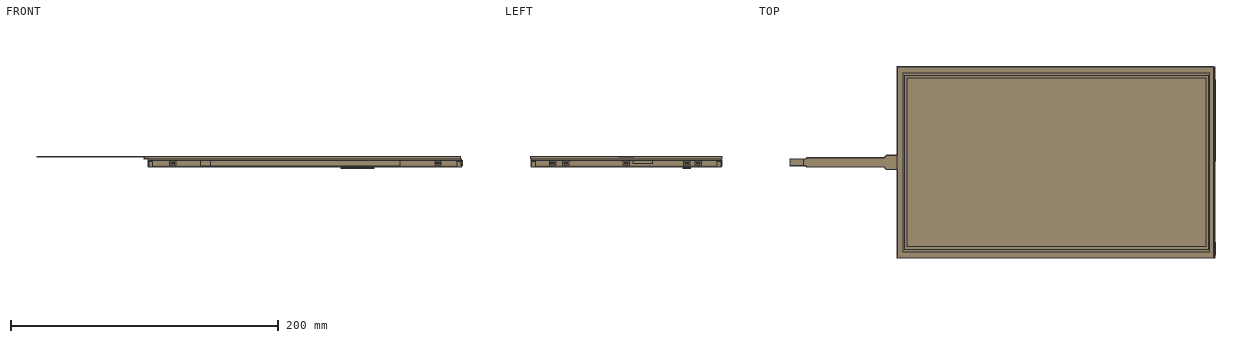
import cadquery as cq


OVERALL_LENGTH = 318.0
LEFT_END = -OVERALL_LENGTH / 2
RIGHT_END = OVERALL_LENGTH / 2

TOTAL_HEIGHT = 9.0
PAD_THICKNESS = 1.0
PANEL_THICKNESS = 2.0
PANEL_BOTTOM = TOTAL_HEIGHT - PANEL_THICKNESS
MODULE_BOTTOM = PAD_THICKNESS
TRAY_TOP = 6.0

PANEL_LEFT = -79.0
PANEL_RIGHT = 157.5
PANEL_WIDTH = 143.0
STEP_DEPTH = 0.15
WINDOWS = [
    (-74.5, 154.5, 66.8),
    (-73.5, 153.5, 65.0),
    (-71.5, 151.7, 63.0),
]

CABLE_THICKNESS = 0.15
CABLE_TOP = TOTAL_HEIGHT - CABLE_THICKNESS
CABLE_BOTTOM = CABLE_TOP - CABLE_THICKNESS
TIP_HALF_WIDTH = 2.5
STRIP_HALF_WIDTH = 3.5
ROOT_HALF_WIDTH = 5.5
TIP_LENGTH = 11.8
STIFFENER_LENGTH = 10.2
ROOT_LENGTH = 8.0

MODULE_LEFT = -76.0
MODULE_RIGHT = 158.5
MODULE_WIDTH = 142.5
FRAME_INSET = 0.3
BEND_RADIUS = 1.0
CORNER_NOTCH_LENGTH = 3.5
CORNER_NOTCH_DEPTH = 0.5
CORNER_NOTCH_TOP = 5.0

SHEET_THICKNESS = 0.15
INNER_SHEET_LEFT = -37.0
OUTER_SHEET_LEFT = -29.3
SHEETS_RIGHT = 112.3

LATCH_LENGTH = 4.8
LATCH_HEIGHT = 3.0
LATCH_DEPTH = 0.5
HOOK_LENGTH = 3.0
HOOK_HEIGHT = 1.0
LATCH_Z = 3.98
FRONT_LATCH_X = [-57.5, 140.5]
LEFT_LATCH_Y = [55.0, 45.2, 0.0, -45.2, -53.8]

CONNECTOR_LENGTH = 14.5
CONNECTOR_Y = -12.5
CONNECTOR_BOTTOM = 3.5
CONNECTOR_DEPTH = 1.0

PAD_LENGTH = 24.8
PAD_WIDTH = 5.5
PAD_X = 80.5
PAD_Y = -45.2

SIDE_STRIPS = [
    (1.0, 61.7, 2.2, 3.8),
    (-69.0, -59.8, 4.8, 5.7),
]


def box(x_range, y_range, z_range):
    """Box between two limits along each axis."""
    sizes = [high - low for low, high in (x_range, y_range, z_range)]
    corner = (x_range[0], y_range[0], z_range[0])
    return cq.Workplane("XY").box(*sizes, centered=False).translate(corner)


def centered_box(center, sizes):
    """Box of the given sizes around its center."""
    return cq.Workplane("XY").box(*sizes).translate(center)



def make_cable():
    """Flat cable: narrow stiffened tip, long strip and flared root."""
    tip_end = LEFT_END + TIP_LENGTH
    tip_flare = STRIP_HALF_WIDTH - TIP_HALF_WIDTH
    root_start = PANEL_LEFT - ROOT_LENGTH
    root_flare = ROOT_HALF_WIDTH - STRIP_HALF_WIDTH
    upper_edge = [
        (LEFT_END, TIP_HALF_WIDTH),
        (tip_end, TIP_HALF_WIDTH),
        (tip_end + tip_flare, STRIP_HALF_WIDTH),
        (root_start - root_flare, STRIP_HALF_WIDTH),
        (root_start, ROOT_HALF_WIDTH),
        (PANEL_LEFT, ROOT_HALF_WIDTH),
    ]
    lower_edge = [(x, -y) for x, y in reversed(upper_edge)]
    strip = (
        cq.Workplane("XY", origin=(0, 0, CABLE_BOTTOM))
        .polyline(upper_edge + lower_edge)
        .close()
        .extrude(CABLE_THICKNESS)
    )
    stiffener = box(
        (LEFT_END, LEFT_END + STIFFENER_LENGTH),
        (-TIP_HALF_WIDTH, TIP_HALF_WIDTH),
        (CABLE_TOP, TOTAL_HEIGHT),
    )
    return strip.union(stiffener)


def make_touch_panel():
    """Panel whose top steps down in nested rectangles to the active area, with its cable."""
    half_width = PANEL_WIDTH / 2
    panel = box((PANEL_LEFT, PANEL_RIGHT), (-half_width, half_width), (PANEL_BOTTOM, TOTAL_HEIGHT))
    for step, (left, right, half) in enumerate(WINDOWS, start=1):
        floor = TOTAL_HEIGHT - step * STEP_DEPTH
        panel = panel.cut(box((left, right), (-half, half), (floor, TOTAL_HEIGHT)))
    return panel.union(make_cable())



def make_module_shell():
    """Tray with rounded bottom edges, carrying the slightly inset upper frame."""
    half_width = MODULE_WIDTH / 2
    tray = box((MODULE_LEFT, MODULE_RIGHT), (-half_width, half_width), (MODULE_BOTTOM, TRAY_TOP))
    tray = tray.faces("<Z").edges().fillet(BEND_RADIUS)
    frame_half = half_width - FRAME_INSET
    frame = box(
        (MODULE_LEFT + FRAME_INSET, MODULE_RIGHT - FRAME_INSET),
        (-frame_half, frame_half),
        (TRAY_TOP, PANEL_BOTTOM),
    )
    return tray.union(frame)


def make_corner_notches():
    """Bend reliefs on both walls at each lower corner of the tray."""
    half_width = MODULE_WIDTH / 2
    height = CORNER_NOTCH_TOP - MODULE_BOTTOM
    middle_z = MODULE_BOTTOM + height / 2
    long_side = 2 * CORNER_NOTCH_LENGTH
    deep_side = 2 * CORNER_NOTCH_DEPTH
    notches = cq.Workplane("XY")
    for x in (MODULE_LEFT, MODULE_RIGHT):
        for y in (-half_width, half_width):
            for length, width in ((long_side, deep_side), (deep_side, long_side)):
                notches = notches.add(centered_box((x, y, middle_z), (length, width, height)))
    return notches.combine()


def make_cover_sheets():
    """Two thin sheets lapped over each other on the front wall."""
    wall = -MODULE_WIDTH / 2
    heights = (MODULE_BOTTOM + BEND_RADIUS, TRAY_TOP)
    inner = box((INNER_SHEET_LEFT, SHEETS_RIGHT), (wall - SHEET_THICKNESS, wall), heights)
    outer = box((OUTER_SHEET_LEFT, SHEETS_RIGHT), (wall - 2 * SHEET_THICKNESS, wall), heights)
    return inner.union(outer)


def make_latch_recess():
    """Recess around one hook, facing -Y with the wall plane at Y = 0."""
    window = centered_box((0, 0, 0), (LATCH_LENGTH, 2 * LATCH_DEPTH, LATCH_HEIGHT))
    hook = centered_box((0, 0, 0), (HOOK_LENGTH, 2 * LATCH_DEPTH, HOOK_HEIGHT))
    return window.cut(hook)


def cut_latches(module):
    """Latch recesses along the front and left walls."""
    recess = make_latch_recess()
    for x in FRONT_LATCH_X:
        module = module.cut(recess.translate((x, -MODULE_WIDTH / 2, LATCH_Z)))
    turned_recess = recess.rotate((0, 0, 0), (0, 0, 1), -90)
    for y in LEFT_LATCH_Y:
        module = module.cut(turned_recess.translate((MODULE_LEFT, y, LATCH_Z)))
    return module


def make_connector_opening():
    """Shallow opening under the rim of the left wall."""
    return box(
        (MODULE_LEFT, MODULE_LEFT + CONNECTOR_DEPTH),
        (CONNECTOR_Y - CONNECTOR_LENGTH / 2, CONNECTOR_Y + CONNECTOR_LENGTH / 2),
        (CONNECTOR_BOTTOM, TRAY_TOP),
    )


def make_label_pad():
    """Flat pad under the tray."""
    return centered_box((PAD_X, PAD_Y, PAD_THICKNESS / 2), (PAD_LENGTH, PAD_WIDTH, PAD_THICKNESS))


def make_lcd_module():
    module = make_module_shell().cut(make_corner_notches())
    module = cut_latches(module)
    module = module.cut(make_connector_opening())
    module = module.union(make_cover_sheets()).union(make_label_pad())
    for low_y, high_y, bottom, top in SIDE_STRIPS:
        module = module.union(box((MODULE_RIGHT, RIGHT_END), (low_y, high_y), (bottom, top)))
    return module


touch_panel = make_touch_panel()
lcd_module = make_lcd_module()

result = cq.Compound.makeCompound([touch_panel.val(), lcd_module.val()])